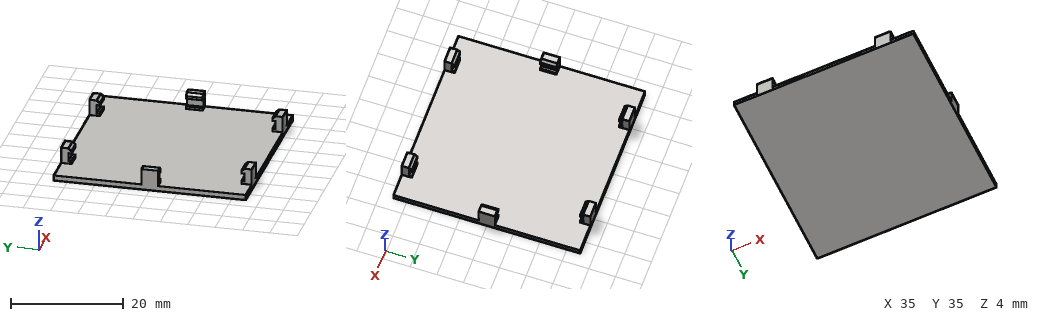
import cadquery as cq

plate_side = 35.0
plate_thickness = 1.0
total_height = 4.0

clip_width = 3.0
clip_depth = 1.9
stem_depth = 1.33
foot_height = 0.5
slot_height = 1.5
lip_bevel_height = 0.5

front_clip_offset = 11.5
back_clip_offset = 10.5


def make_clip(along_edge, turn):
    """Clip on the front (-Y) edge, then turned about Z onto the wanted edge."""
    slot_bottom = plate_thickness + foot_height
    slot_top = slot_bottom + slot_height
    profile = [
        (0, 0),
        (clip_depth, 0),
        (clip_depth, slot_bottom),
        (stem_depth, slot_bottom),
        (stem_depth, slot_top),
        (clip_depth, slot_top),
        (clip_depth, total_height - lip_bevel_height),
        (stem_depth, total_height),
        (0, total_height),
    ]
    clip = cq.Workplane("YZ").polyline(profile).close().extrude(clip_width / 2, both=True)
    return clip.translate((along_edge, -plate_side / 2, 0)).rotate((0, 0, 0), (0, 0, 1), turn)


result = cq.Workplane("XY").box(
    plate_side, plate_side, plate_thickness, centered=(True, True, False)
)

for offset, turn in ((front_clip_offset, 0), (back_clip_offset, 180)):
    for side in (-1, 1):
        result = result.union(make_clip(side * offset, turn))

for turn in (90, 270):
    result = result.union(make_clip(0, turn))